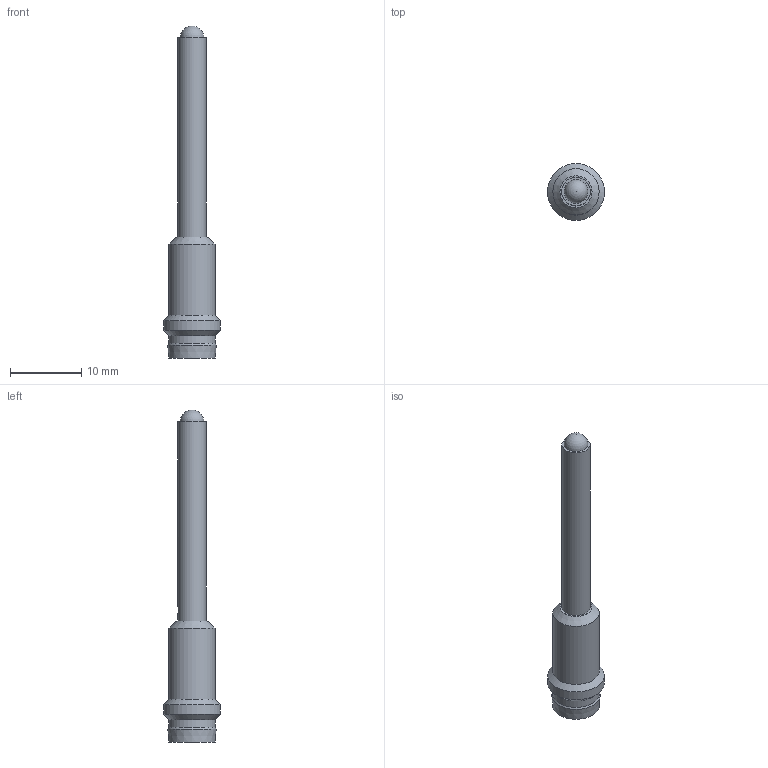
import cadquery as cq
import math

total_height = 46.66
body_diameter = 6.5
flange_diameter = 8.0
barb_diameter = 6.8
rod_diameter = 4.0
dome_diameter = 3.32
shoulder_chamfer = 1.0

barb_crest_level = 1.8
barb_top_level = 2.05
flange_bottom_level = 3.15
flange_top_level = 6.0
shoulder_level = 17.0

cross_hole_diameter = 1.2
cross_hole_above_shoulder = 1.55

body_radius = body_diameter / 2
flange_radius = flange_diameter / 2
barb_radius = barb_diameter / 2
rod_radius = rod_diameter / 2
dome_radius = dome_diameter / 2
flange_chamfer = flange_radius - body_radius
rod_top_level = total_height - dome_radius


def turned_pin():
    """Barbed base, chamfered flange, body, rod and domed tip as one revolved profile."""
    dome_middle_offset = dome_radius * math.sin(math.radians(45))
    profile = (
        cq.Workplane("XZ")
        .lineTo(body_radius, 0)
        .lineTo(barb_radius, barb_crest_level)
        .lineTo(body_radius, barb_top_level)
        .lineTo(body_radius, flange_bottom_level)
        .lineTo(flange_radius, flange_bottom_level + flange_chamfer)
        .lineTo(flange_radius, flange_top_level - flange_chamfer)
        .lineTo(body_radius, flange_top_level)
        .lineTo(body_radius, shoulder_level - shoulder_chamfer)
        .lineTo(body_radius - shoulder_chamfer, shoulder_level)
        .lineTo(rod_radius, shoulder_level)
        .lineTo(rod_radius, rod_top_level)
        .lineTo(dome_radius, rod_top_level)
        .threePointArc(
            (dome_middle_offset, rod_top_level + dome_middle_offset),
            (0, total_height),
        )
        .close()
    )
    return profile.revolve(360, (0, 0, 0), (0, 1, 0))


def cross_hole():
    """Cutter for the blind hole, running from the axis out through the +Y side of the rod."""
    hole_level = shoulder_level + cross_hole_above_shoulder
    return (
        cq.Workplane("XZ")
        .center(0, hole_level)
        .circle(cross_hole_diameter / 2)
        .extrude(-rod_diameter)
    )


result = turned_pin().cut(cross_hole())